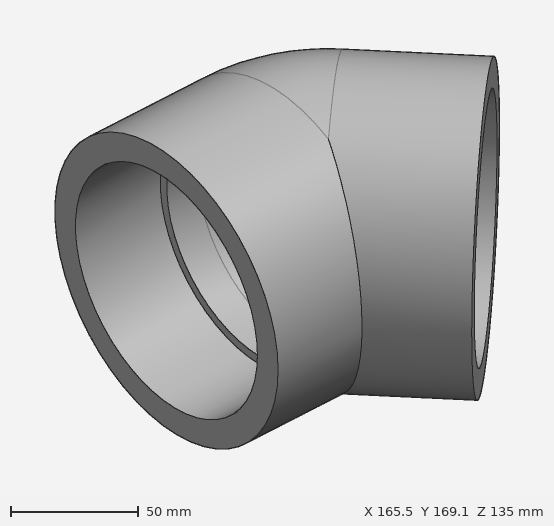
import cadquery as cq
import math

outer_diameter = 135.0
bore_diameter = 102.0
socket_diameter = 110.0
leg_length = 59.5
socket_depth = 43.5
bend_angle = 45
bend_radius = outer_diameter / 2 * math.tan(math.radians(bend_angle / 2))

pivot = (bend_radius, leg_length, 0)
pivot_top = (bend_radius, leg_length, 1)


def place_on_second_leg(body):
    """Mirror a first-leg body across the start of the bend, then turn it through the bend."""
    mirrored = body.mirror("XZ", (0, leg_length, 0))
    return mirrored.rotate(pivot, pivot_top, -bend_angle)


def both_ends(diameter, length):
    """Cylinders running inward from both open ends."""
    first = cq.Workplane("XZ").circle(diameter / 2).extrude(-length)
    return first.union(place_on_second_leg(first))


def outer_bend(diameter):
    """Part of the pipe disc on the outside of the pivot, revolved through the bend."""
    radius = diameter / 2
    half_chord = math.sqrt(radius**2 - bend_radius**2)
    return (
        cq.Workplane("XZ", origin=(0, leg_length, 0))
        .moveTo(bend_radius, -half_chord)
        .threePointArc((-radius, 0), (bend_radius, half_chord))
        .close()
        .revolve(bend_angle, (bend_radius, 1.7, 0), (bend_radius, 0, 0))
    )


def elbow(diameter):
    """Two straight legs joined by the rounded bend; the legs meet at the inner corner."""
    return both_ends(diameter, leg_length).union(outer_bend(diameter))


body = elbow(outer_diameter)
bore = elbow(bore_diameter)
sockets = both_ends(socket_diameter, socket_depth)

result = body.cut(bore).cut(sockets)